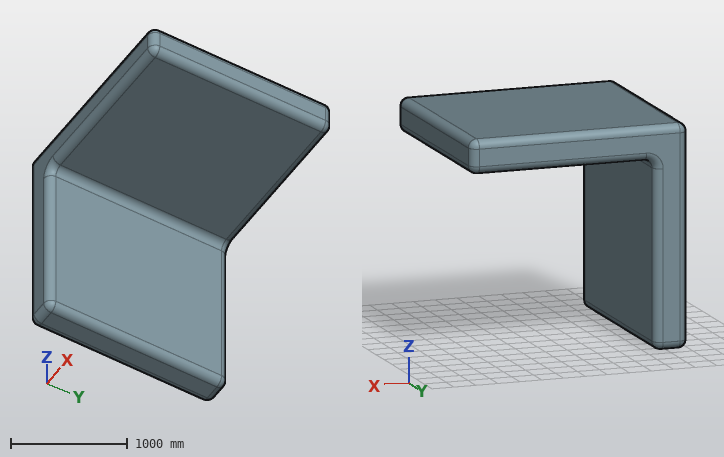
import cadquery as cq

side = 1981.0
depth = 1829.0
thickness = 305.0
edge_radius = 75.0

block = cq.Workplane("XY").box(side, depth, side)
open_space = (
    cq.Workplane("XY")
    .box(side, depth, side)
    .translate((thickness, 0, -thickness))
)
angle_body = block.cut(open_space)

result = angle_body.edges().fillet(edge_radius)